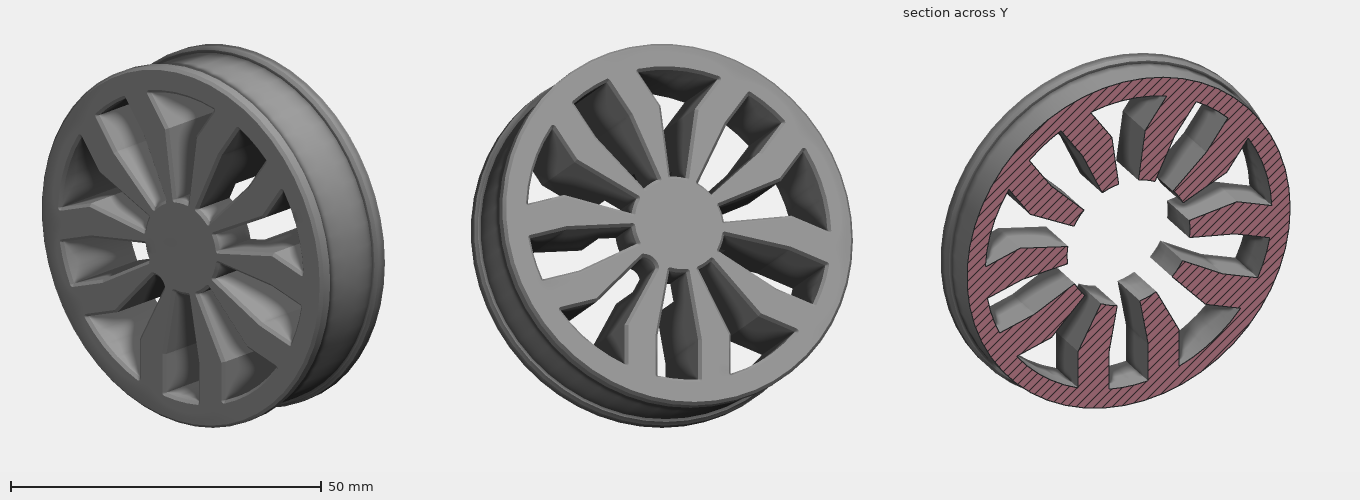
import cadquery as cq
import math

outer_radius = 30.0
wheel_width = 16.0
flange_width = 2.5
groove_depth = 0.95
chamfer = 0.5
front_y = -wheel_width / 2

recess_radius = 11.0
recess_depth = wheel_width / 2

windows_per_kind = 5
rim_inner_radius = 25.7
hub_radius = 8.0
outline_top = 27.0

wide_hub_half_width = 1.3
wide_knee_half_width = 2.95
wide_knee_height = 19.5

narrow_hub_half_width = 1.45
narrow_half_width = 3.5
narrow_knee_height = 18.9

hollow_window_index = 3
hollow_end_height = 8.4
hollow_apex_height = 7.85

wide_pitch = 360 / windows_per_kind
half_pitch = wide_pitch / 2


def disk(radius, width, start_y):
    """Disk about the Y axis, reaching back from start_y."""
    return cq.Workplane("XZ", origin=(0, start_y, 0)).circle(radius).extrude(-width)


def wheel_blank():
    """Solid wheel with two flanges, chamfered on both sides."""
    barrel = disk(outer_radius - groove_depth, wheel_width - flange_width, front_y + flange_width / 2)
    front_flange = disk(outer_radius, flange_width, front_y).edges().chamfer(chamfer)
    rear_flange = disk(outer_radius, flange_width, -front_y - flange_width).edges().chamfer(chamfer)
    return barrel.union(front_flange).union(rear_flange)


def on_hub(half_width):
    """Point on the hub circle at the given half width."""
    return (half_width, math.sqrt(hub_radius**2 - half_width**2))


def wide_side(hub_end):
    """Right side of a wide window; its flare runs parallel to the next narrow window's centre line."""
    knee = (wide_knee_half_width, wide_knee_height)
    flare = (outline_top - wide_knee_height) * math.tan(math.radians(half_pitch))
    return [hub_end, knee, (wide_knee_half_width + flare, outline_top)]


def narrow_side():
    """Right side of a narrow window, parallel to the centre line beyond the knee."""
    knee = (narrow_half_width, narrow_knee_height)
    return [on_hub(narrow_hub_half_width), knee, (narrow_half_width, outline_top)]


def hollow_end():
    """Hub end of the hollow window, on the straight line of a wide window's side."""
    hub_x, hub_z = on_hub(wide_hub_half_width)
    slope = (wide_knee_half_width - hub_x) / (wide_knee_height - hub_z)
    return (hub_x + slope * (hollow_end_height - hub_z), hollow_end_height)


def window(side, apex_height, angle):
    """Through window with mirrored sides, a hub arc and a chamfered front, turned about Y by angle."""
    mirrored_side = [(-x, z) for x, z in reversed(side)]
    prism = (
        cq.Workplane("XZ", origin=(0, front_y + chamfer, 0))
        .polyline(side + mirrored_side)
        .threePointArc((0, apex_height), side[0])
        .close()
        .extrude(chamfer - wheel_width)
    )
    straight = prism.intersect(disk(rim_inner_radius, wheel_width, front_y))
    flared = straight.faces("<Y").wires().toPending().extrude(chamfer, taper=-45)
    return flared.rotate((0, 0, 0), (0, 1, 0), angle)


result = wheel_blank()

for index in range(windows_per_kind):
    if index == hollow_window_index:
        wide_window = window(wide_side(hollow_end()), hollow_apex_height, index * wide_pitch)
    else:
        wide_window = window(wide_side(on_hub(wide_hub_half_width)), hub_radius, index * wide_pitch)
    narrow_window = window(narrow_side(), hub_radius, index * wide_pitch + half_pitch)
    result = result.cut(wide_window).cut(narrow_window)

result = result.cut(disk(recess_radius, recess_depth, -front_y - recess_depth))